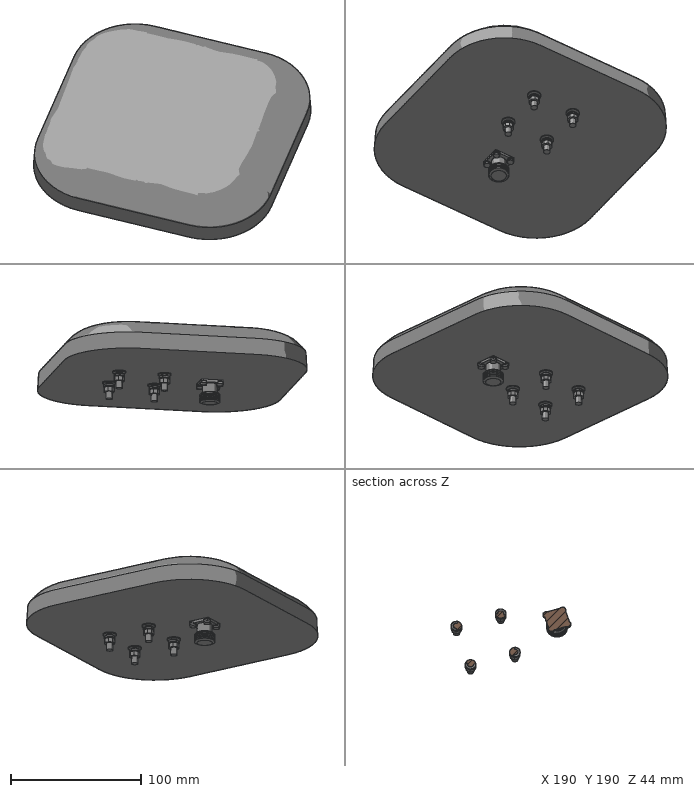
import cadquery as cq
import math

side = 190.0
half_side = side / 2
corner_radius = 50.2
corner_centre = half_side - corner_radius
overall_height = 44.0
radome_height = 27.4
rim_height = 13.7
rim_bevel = 0.8
wall_draft = 0.8
rim_inset = 1.1
flat_half = 59.5
flank_inset = 6.8
flank_height = 19.8
shoulder_inset = 20.1
shoulder_height = 26.0

stud_spacing = 35.7
stud_square_y = 28.0
stud_diameter = 5.0
stud_length = 13.1
washer_diameter = 10.3
washer_thickness = 0.8
spring_washer_diameter = 8.4
spring_washer_thickness = 1.3
spring_washer_depth = 2.0
spring_washer_overlap = 0.2
spring_washer_rise = 0.5
spring_washer_split_angle = 240.0
nut_width = 7.6
nut_sides = 8
nut_depth = spring_washer_depth + spring_washer_thickness
nut_height = 4.2
nut_face_height = 0.8

connector_y = -29.6
connector_length = overall_height - radome_height
flange_side = 17.1
flange_thickness = 2.0
screw_spacing = 13.0
screw_washer_diameter = 5.5
screw_washer_depth = 1.1
screw_washer_thickness = 1.7
screw_head_diameter = 5.0
screw_head_height = 1.3
neck_diameter = 11.4
neck_length = 9.0
collar_diameter = 13.0
thread_diameter = 16.0
thread_start = 10.5
thread_pitch = 1.3
thread_depth = 0.8
thread_turns = 4
tip_diameter = 11.8


def dome_section(axis_offset):
    """Half section from the axis to the side wall, with X measured from axis_offset."""
    wall = half_side - axis_offset
    return (
        cq.Workplane("XZ")
        .lineTo(wall, 0)
        .lineTo(wall - wall_draft, rim_height - rim_bevel)
        .lineTo(wall - rim_inset, rim_height)
        .spline(
            [
                (wall - flank_inset, flank_height),
                (wall - shoulder_inset, shoulder_height),
                (flat_half - axis_offset, radome_height),
            ],
            tangents=[(-1, 1), (-1, 0)],
            includeCurrent=True,
        )
        .lineTo(0, radome_height)
        .close()
    )


def make_radome():
    """Four straight edge bands and four quarter-turn corners around a central block."""
    core_side = 2 * corner_centre
    radome = cq.Workplane("XY").box(core_side, core_side, radome_height, centered=(True, True, False))
    band = dome_section(corner_centre).extrude(core_side)
    band = band.translate((corner_centre, corner_centre, 0))
    corner = dome_section(corner_centre).revolve(90, (0, 0, 0), (0, 1, 0))
    corner = corner.translate((corner_centre, corner_centre, 0))
    for quarter in range(4):
        angle = 90 * quarter
        radome = radome.union(band.rotate((0, 0, 0), (0, 0, 1), angle))
        radome = radome.union(corner.rotate((0, 0, 0), (0, 0, 1), angle))
    return radome


def hanging_disc(diameter, depth, height):
    """A disc on the Z axis whose upper face lies the given depth below the underside."""
    return cq.Workplane("XY").workplane(offset=-depth).circle(diameter / 2).extrude(-height)


def make_spring_washer():
    """One turn of a rectangular coil, its ends stepped at the split."""
    inner_radius = stud_diameter / 2 - spring_washer_overlap
    outer_radius = spring_washer_diameter / 2
    mid_radius = (inner_radius + outer_radius) / 2
    helix = cq.Wire.makeHelix(spring_washer_rise, spring_washer_rise, mid_radius)
    coil = (
        cq.Workplane("XZ", origin=(mid_radius, 0, 0))
        .rect(outer_radius - inner_radius, spring_washer_thickness)
        .sweep(cq.Workplane(helix), isFrenet=True)
    )
    start_depth = spring_washer_depth + (spring_washer_thickness + spring_washer_rise) / 2
    return coil.rotate((0, 0, 0), (0, 0, 1), spring_washer_split_angle).translate((0, 0, -start_depth))


def make_stud():
    nut_circumscribed = nut_width / math.cos(math.pi / nut_sides)
    nut = (
        cq.Workplane("XY")
        .workplane(offset=-nut_depth - nut_face_height)
        .polygon(nut_sides, nut_circumscribed)
        .extrude(nut_face_height - nut_height)
        .rotate((0, 0, 0), (0, 0, 1), 180 / nut_sides)
    )
    return (
        hanging_disc(stud_diameter, 0, stud_length)
        .union(hanging_disc(washer_diameter, 0, washer_thickness))
        .union(hanging_disc(nut_width, nut_depth, nut_face_height))
        .union(nut)
        .union(make_spring_washer())
    )


def make_connector():
    flange = cq.Workplane("XY").rect(flange_side, flange_side).extrude(-flange_thickness)
    screw_head_depth = screw_washer_depth + screw_washer_thickness
    screw = hanging_disc(screw_washer_diameter, screw_washer_depth, screw_washer_thickness)
    screw = screw.union(hanging_disc(screw_head_diameter, screw_head_depth, screw_head_height))
    screw_offsets = (-screw_spacing / 2, screw_spacing / 2)
    for x in screw_offsets:
        for y in screw_offsets:
            flange = flange.union(screw.translate((x, y, 0)))

    crest = thread_diameter / 2
    barrel = (
        cq.Workplane("XZ")
        .lineTo(neck_diameter / 2, 0)
        .lineTo(neck_diameter / 2, -neck_length)
        .lineTo(collar_diameter / 2, -neck_length)
        .lineTo(crest, -thread_start)
    )
    for turn in range(thread_turns):
        crest_depth = thread_start + turn * thread_pitch
        barrel = barrel.lineTo(crest - thread_depth, -crest_depth - thread_pitch / 2)
        barrel = barrel.lineTo(crest, -crest_depth - thread_pitch)
    barrel = (
        barrel.lineTo(tip_diameter / 2, -connector_length)
        .lineTo(0, -connector_length)
        .close()
        .revolve(360, (0, 0, 0), (0, 1, 0))
    )
    return flange.union(barrel).translate((0, connector_y, 0))


result = make_radome().union(make_connector())

first_stud = make_stud().translate((stud_spacing / 2, -stud_spacing / 2, 0))
for quarter in range(4):
    stud = first_stud.rotate((0, 0, 0), (0, 0, 1), 90 * quarter)
    result = result.union(stud.translate((0, stud_square_y, 0)))